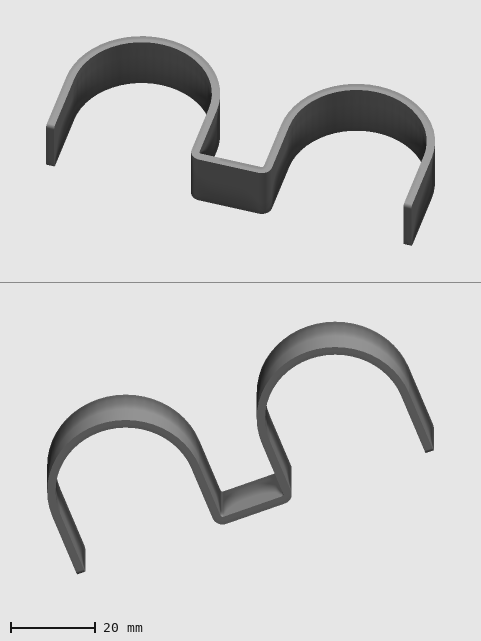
import cadquery as cq

length = 90.0
depth = 35.0
width = 14.0
thickness = 2.0
loop_radius = 18.5
bend_radius = 2.5
tip_radius = 1.0

loop_center = length / 2 - loop_radius
inner_radius = loop_radius - thickness
base_y = loop_radius - depth
outer_leg_inside = loop_center + inner_radius
bridge_half = loop_center - inner_radius
bridge_inside = bridge_half - thickness
inner_bend_radius = bend_radius - thickness


def half_strip():
    """Right half of the strip: outer leg, loop, inner leg and half of the bridge."""
    return (
        cq.Workplane("XY")
        .moveTo(length / 2, base_y)
        .lineTo(length / 2, 0)
        .threePointArc((loop_center, loop_radius), (bridge_inside, 0))
        .lineTo(bridge_inside, base_y + thickness)
        .lineTo(0, base_y + thickness)
        .lineTo(0, base_y)
        .lineTo(bridge_half, base_y)
        .lineTo(bridge_half, 0)
        .threePointArc((loop_center, inner_radius), (outer_leg_inside, 0))
        .lineTo(outer_leg_inside, base_y)
        .close()
        .extrude(width)
    )


def upright_edge(x, y):
    """Selector for the upright edge whose midpoint is nearest the given X and Y."""
    return cq.selectors.NearestToPointSelector((x, y, width / 2))


def round_edges(half):
    """Round the bridge bend and the corners of the free end."""
    half = half.edges(upright_edge(bridge_half, base_y)).fillet(bend_radius)
    half = half.edges(upright_edge(bridge_inside, base_y + thickness)).fillet(inner_bend_radius)
    tip_face = cq.selectors.NearestToPointSelector((length / 2 - thickness / 2, base_y, width / 2))
    return half.faces(tip_face).edges("|X").fillet(tip_radius)


right_half = round_edges(half_strip())
result = right_half.union(right_half.mirror("YZ")).clean()